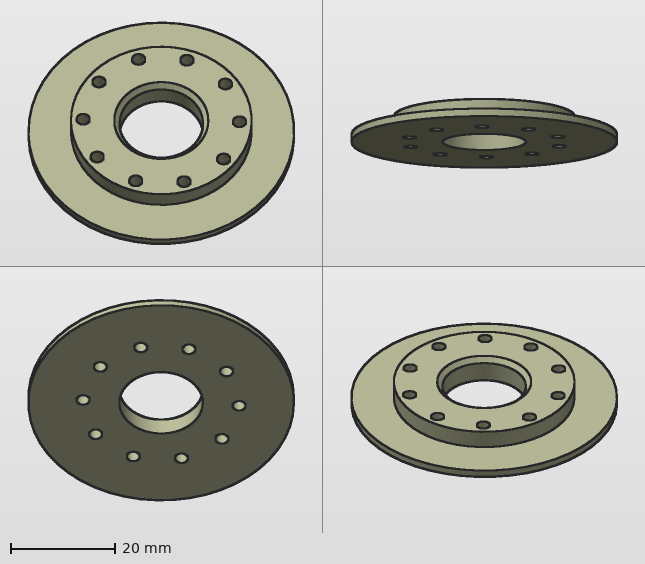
import cadquery as cq

flange_diameter = 51
total_height = 5.0
flange_thickness = 1.5
boss_diameter = 34.7

bore_diameter = 16.0
bore_chamfer = 1.0

hole_count = 10
hole_diameter = 2.5
hole_circle_diameter = 30.0


def make_body():
    """Thin round flange with a concentric raised boss."""
    flange = cq.Workplane("XY").circle(flange_diameter / 2).extrude(flange_thickness)
    boss = cq.Workplane("XY").circle(boss_diameter / 2).extrude(total_height)
    return flange.union(boss)


def cut_bore(body):
    """Through bore, chamfered where it meets the top of the boss."""
    bored = body.faces(">Z").workplane().circle(bore_diameter / 2).cutThruAll()
    bore_rim = cq.selectors.RadiusNthSelector(0)
    return bored.faces(">Z").edges(bore_rim).chamfer(bore_chamfer)


def cut_holes(body):
    """Evenly spaced through holes, the first one on the +X axis."""
    holes = (
        cq.Workplane("XY")
        .polarArray(hole_circle_diameter / 2, 0, 360, hole_count)
        .circle(hole_diameter / 2)
        .extrude(total_height)
    )
    return body.cut(holes)


result = cut_holes(cut_bore(make_body()))